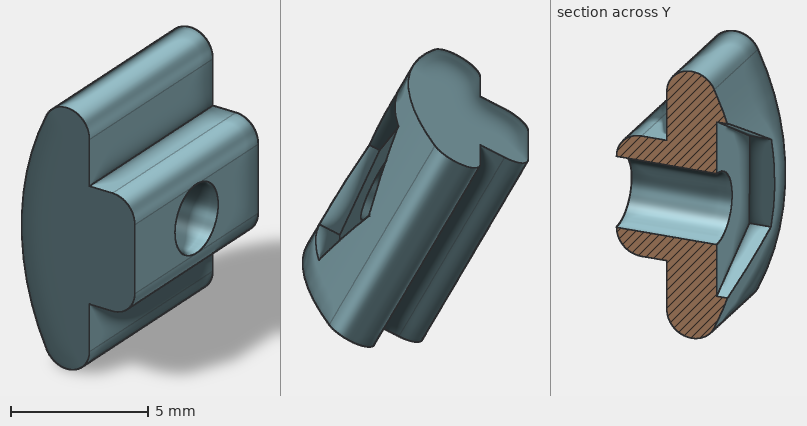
import cadquery as cq
import math

length = 8.0
height = 10.61
total_depth = 4.99
round_radius = 1.0
body_depth = 2.99
rail_height = 4.8
hole_diameter = 2.8
hex_across_flats = 5.99
hex_tilt = 0.4
pocket_floor = 1.0

half_height = height / 2

end_x = body_depth - round_radius
end_z = half_height - round_radius
face_radius = (end_x**2 + end_z**2 - round_radius**2) / (2 * (end_x - round_radius))
tangent_angle = math.asin(end_z / (face_radius - round_radius))
tangent_x = face_radius * (1 - math.cos(tangent_angle))
tangent_z = face_radius * math.sin(tangent_angle)


def make_body():
    """Wide body with a curved face and rounded ends, centred on Y = 0."""
    return (
        cq.Workplane("XZ")
        .moveTo(tangent_x, -tangent_z)
        .threePointArc((0, 0), (tangent_x, tangent_z))
        .threePointArc((end_x, half_height), (body_depth, end_z))
        .lineTo(body_depth, -end_z)
        .threePointArc((end_x, -half_height), (tangent_x, -tangent_z))
        .close()
        .extrude(length / 2, both=True)
    )


def make_rail():
    """Narrow rail behind the body, with its two outer edges rounded."""
    rail_depth = total_depth - end_x
    return (
        cq.Workplane("XY")
        .box(rail_depth, length, rail_height)
        .edges("|Y and >X")
        .fillet(round_radius)
        .translate((end_x + rail_depth / 2, 0, 0))
    )


def make_hex_pocket():
    """Hexagonal pocket from the curved face, with corners at top and bottom."""
    circumscribed_diameter = hex_across_flats / math.cos(math.pi / 6)
    return (
        cq.Workplane("YZ")
        .polygon(6, circumscribed_diameter)
        .extrude(pocket_floor)
        .rotate((0, 0, 0), (1, 0, 0), 90 + hex_tilt)
    )


def make_hole():
    """Round hole through the body and rail along X."""
    return cq.Workplane("YZ").circle(hole_diameter / 2).extrude(total_depth)


result = make_body().union(make_rail()).cut(make_hex_pocket()).cut(make_hole())